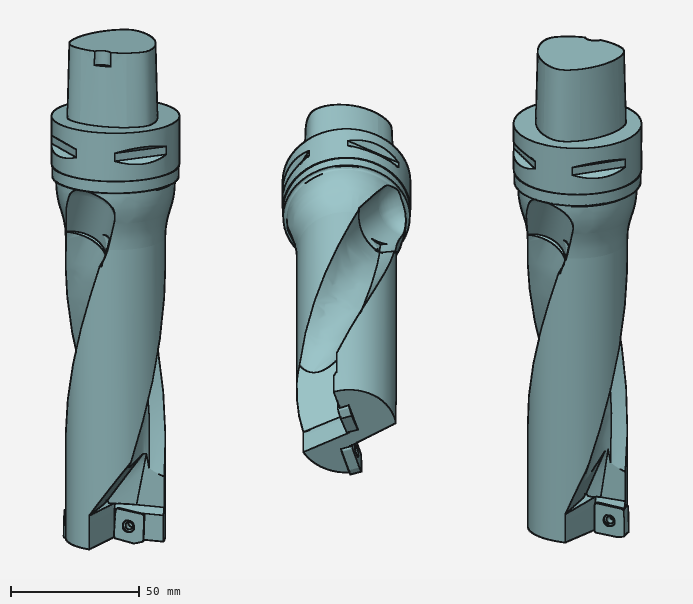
import cadquery as cq
import math


SHANK_LENGTH = 30.0
SHANK_TOP_RADIUS = 16.9
SHANK_TAPER = 1 / 40
LOBE_HEIGHT = 1.4
FLAT_HALF_ANGLE = 21.0

KEYWAY_RADIUS = 4.0
KEYWAY_DEPTH = 1.9
KEYWAY_LENGTH = 5.7

OUTLINE_STEPS = 10

FLANGE_RADIUS = 25.0
FLANGE_STEP_RADIUS = 24.75
FLANGE_STEP_Z = -19.65
FLANGE_BOTTOM_Z = -24.5
COLLAR_RADIUS = 23.25
COLLAR_BOTTOM_Z = -26.5
COLLAR_FILLET = 1.0
BODY_RADIUS = 19.5
NECK_BOTTOM_Z = -49.0
BODY_BOTTOM_Z = -171.4

GRIP_FLOOR_DISTANCE = 22.35
GRIP_CENTRE_Z = -9.75
GRIP_FLOOR_HEIGHT = 3.2
GRIP_MOUTH_HEIGHT = 6.85
GRIP_COUNT = 4

TWIST_RATE = 0.95
FLUTE_HALF_ANGLE = 34.0
FLUTE_TOP_BEARING = -23.4
FLUTE_WALL_FOOT_RADIUS = 13.3
FLUTE_FLOOR_DISTANCE = 10.6
FLUTE_FLOOR_OFFSET = -1.0
FLUTE_TOP_Z = -45.5
FLUTE_BOTTOM_Z = -150.0
FLUTE_OUTER_RADIUS = 28.0
RUNOUT_RADIUS = 11.8
RUNOUT_START = (-10.0, -18.1, -51.5)
RUNOUT_DIRECTION = (0.36, -0.42, 1.0)
RUNOUT_LENGTH = 27.5
RUNOUT_END_FILLET = 8.0

POCKET_TOP_Z = -134.5
POCKET_STEP_TOP_Z = -157.7
POCKET_STEP_BOTTOM_Z = -160.6
POCKET_TOP_X = 12.5
POCKET_UPPER_FLOOR_Y = 2.0
POCKET_RAMP_Y = 0.5
POCKET_LOWER_FLOOR_Y = 0.8
POCKET_REACH = 30.0
TIP_RELIEF_ANGLE = 5.0

INSERT_FACE_Y = 0.0
INSERT_THICKNESS = 4.5
INSERT_CORNER_RADIUS = 1.0
SCREW_RECESS_STEPS = [(4.8, 1.0), (3.0, INSERT_THICKNESS)]
TIP_Z = -172.99
DRILL_RADIUS = 19.95


def bearing_point(radius, bearing):
    angle = math.radians(bearing)
    return (radius * math.sin(angle), -radius * math.cos(angle))


def shank_wire(mean_radius, z):
    """Three-lobed outline, built from its distance-to-tangent formula, as flats and lobes."""

    def outline_point(bearing):
        angle = math.radians(bearing)
        distance = mean_radius - LOBE_HEIGHT * math.cos(3 * angle)
        slope = 3 * LOBE_HEIGHT * math.sin(3 * angle)
        x = distance * math.sin(angle) + slope * math.cos(angle)
        y = -distance * math.cos(angle) + slope * math.sin(angle)
        return cq.Vector(x, y, z)

    edges = []
    for flat_bearing in (0, 120, 240):
        seams = [flat_bearing - FLAT_HALF_ANGLE, flat_bearing + FLAT_HALF_ANGLE,
                 flat_bearing + 120 - FLAT_HALF_ANGLE]
        for start, end in zip(seams, seams[1:]):
            points = [outline_point(start + (end - start) * i / OUTLINE_STEPS)
                      for i in range(OUTLINE_STEPS + 1)]
            edges.append(cq.Edge.makeSpline(points))
    return cq.Wire.assembleEdges(edges)


def make_shank():
    base_radius = SHANK_TOP_RADIUS + SHANK_LENGTH * SHANK_TAPER
    wires = [shank_wire(base_radius, 0), shank_wire(SHANK_TOP_RADIUS, SHANK_LENGTH)]
    shank = cq.Workplane(cq.Solid.makeLoft(wires, True))
    flat_distance = SHANK_TOP_RADIUS - LOBE_HEIGHT
    keyway_y = -flat_distance + KEYWAY_DEPTH - KEYWAY_RADIUS
    keyway = (
        cq.Workplane("XY", origin=(0, keyway_y, SHANK_LENGTH - KEYWAY_LENGTH))
        .circle(KEYWAY_RADIUS)
        .extrude(KEYWAY_LENGTH)
    )
    return shank.cut(keyway)


def make_round_body():
    neck_middle = ((COLLAR_RADIUS + BODY_RADIUS) / 2, (COLLAR_BOTTOM_Z + NECK_BOTTOM_Z) / 2)
    fillet_middle = COLLAR_FILLET * (1 - math.sqrt(0.5))
    profile = (
        cq.Workplane("XZ")
        .moveTo(0, 0)
        .lineTo(FLANGE_RADIUS, 0)
        .lineTo(FLANGE_RADIUS, FLANGE_STEP_Z)
        .lineTo(FLANGE_STEP_RADIUS, FLANGE_STEP_Z)
        .lineTo(FLANGE_STEP_RADIUS, FLANGE_BOTTOM_Z)
        .lineTo(COLLAR_RADIUS + COLLAR_FILLET, FLANGE_BOTTOM_Z)
        .threePointArc(
            (COLLAR_RADIUS + fillet_middle, FLANGE_BOTTOM_Z - fillet_middle),
            (COLLAR_RADIUS, FLANGE_BOTTOM_Z - COLLAR_FILLET),
        )
        .lineTo(COLLAR_RADIUS, COLLAR_BOTTOM_Z)
        .tangentArcPoint(neck_middle, relative=False)
        .tangentArcPoint((BODY_RADIUS, NECK_BOTTOM_Z), relative=False)
        .lineTo(BODY_RADIUS, BODY_BOTTOM_Z)
        .lineTo(0, BODY_BOTTOM_Z)
        .close()
    )
    return profile.revolve(360, (0, 0, 0), (0, 1, 0))


def grip_slot_cutter(bearing):
    """Straight V-sided slot across the flange, widening outward."""
    half_floor = GRIP_FLOOR_HEIGHT / 2
    half_mouth = GRIP_MOUTH_HEIGHT / 2
    return (
        cq.Workplane("YZ", origin=(-FLANGE_RADIUS, 0, GRIP_CENTRE_Z))
        .polyline([
            (-GRIP_FLOOR_DISTANCE, half_floor),
            (-FLANGE_RADIUS, half_mouth),
            (-FLANGE_RADIUS, -half_mouth),
            (-GRIP_FLOOR_DISTANCE, -half_floor),
        ])
        .close()
        .extrude(2 * FLANGE_RADIUS)
        .rotate((0, 0, 0), (0, 0, 1), bearing)
    )


def flute_section(z):
    """Flute outline facing -Y: a radial wall on the +X side, then a hollow floor."""
    wall_foot = bearing_point(FLUTE_WALL_FOOT_RADIUS, FLUTE_HALF_ANGLE)
    wall_lip = bearing_point(FLUTE_OUTER_RADIUS, FLUTE_HALF_ANGLE)
    floor_lip = bearing_point(BODY_RADIUS, -FLUTE_HALF_ANGLE)
    outer_corner = bearing_point(FLUTE_OUTER_RADIUS, -FLUTE_HALF_ANGLE)
    return (
        cq.Workplane("XY", origin=(0, 0, z))
        .moveTo(*wall_lip)
        .lineTo(*wall_foot)
        .threePointArc((FLUTE_FLOOR_OFFSET, -FLUTE_FLOOR_DISTANCE), floor_lip)
        .lineTo(*outer_corner)
        .close()
    )


def helix_cutter():
    length = FLUTE_TOP_Z - FLUTE_BOTTOM_Z
    twist = TWIST_RATE * length
    helix = flute_section(FLUTE_BOTTOM_Z).twistExtrude(length, twist)
    return helix.rotate((0, 0, 0), (0, 0, 1), FLUTE_TOP_BEARING - twist)


def runout_cutter():
    """Leaning round cutter path that carries the top of the flute out through the neck."""
    plane = cq.Plane(origin=RUNOUT_START, normal=RUNOUT_DIRECTION)
    return (
        cq.Workplane(plane)
        .circle(RUNOUT_RADIUS)
        .extrude(RUNOUT_LENGTH)
        .faces(">Z")
        .edges()
        .fillet(RUNOUT_END_FILLET)
    )


def pocket_section(z, mouth_x, mouth_y, foot_x, floor_y):
    points = [
        (mouth_x, -POCKET_REACH),
        (mouth_x, mouth_y),
        (foot_x, floor_y),
        (POCKET_REACH, floor_y),
        (POCKET_REACH, -POCKET_REACH),
    ]
    return cq.Wire.makePolygon([cq.Vector(x, y, z) for x, y in points], close=True)


def pocket_cutter(mouth_x, upper_foot_x, lower_foot_x):
    """Open corner pocket facing -Y: stepped floor below, ramp running up into the flute."""
    mouth_y = -math.sqrt(BODY_RADIUS**2 - mouth_x**2)
    ramp = [
        pocket_section(POCKET_TOP_Z, POCKET_TOP_X, POCKET_RAMP_Y, POCKET_TOP_X, POCKET_UPPER_FLOOR_Y),
        pocket_section(POCKET_STEP_TOP_Z, mouth_x, POCKET_RAMP_Y, upper_foot_x, POCKET_UPPER_FLOOR_Y),
    ]
    step = [
        pocket_section(POCKET_STEP_TOP_Z, mouth_x, mouth_y, lower_foot_x, POCKET_UPPER_FLOOR_Y),
        pocket_section(POCKET_STEP_BOTTOM_Z, mouth_x, mouth_y, lower_foot_x, POCKET_LOWER_FLOOR_Y),
    ]
    seat = [
        pocket_section(POCKET_STEP_BOTTOM_Z, mouth_x, mouth_y, lower_foot_x, POCKET_LOWER_FLOOR_Y),
        pocket_section(TIP_Z, mouth_x, mouth_y, lower_foot_x, POCKET_LOWER_FLOOR_Y),
    ]
    lofts = [cq.Workplane(cq.Solid.makeLoft(wires, True)) for wires in (ramp, step, seat)]
    return lofts[0].union(lofts[1]).union(lofts[2])


def tip_relief_cutter():
    """Sloped end clearance of the lobe behind the central insert."""
    rise = POCKET_REACH * math.tan(math.radians(TIP_RELIEF_ANGLE))
    return (
        cq.Workplane("YZ", origin=(-POCKET_REACH, 0, BODY_BOTTOM_Z))
        .polyline([(0, 0), (POCKET_REACH, rise), (POCKET_REACH, 0)])
        .close()
        .extrude(2 * POCKET_REACH)
    )


def half_turn(shape):
    return shape.rotate((0, 0, 0), (0, 0, 1), 180)


def insert_blank(outline):
    """Plate with its cutting face toward -Y; the first (X, Z) corner is a sharp tip, the rest are round."""
    plate = (
        cq.Workplane("XZ", origin=(0, INSERT_FACE_Y + INSERT_THICKNESS, 0))
        .polyline(outline)
        .close()
        .extrude(INSERT_THICKNESS)
    )
    middle_y = INSERT_FACE_Y + INSERT_THICKNESS / 2
    for x, z in outline[1:]:
        corner = cq.selectors.NearestToPointSelector((x, middle_y, z))
        plate = plate.edges("|Y").edges(corner).fillet(INSERT_CORNER_RADIUS)
    return plate


def screw_recess_cutter(x, z):
    recess = cq.Workplane()
    for diameter, depth in SCREW_RECESS_STEPS:
        step = (
            cq.Workplane("XZ", origin=(x, INSERT_FACE_Y, z))
            .circle(diameter / 2)
            .extrude(-depth)
        )
        recess = recess.add(step)
    return recess.combine()


CENTRAL_OUTLINE = [(7.6, TIP_Z), (11.4, -171.9), (11.8, -160.8), (0.0, -159.3), (-0.8, -171.5)]
PERIPHERAL_OUTLINE = [(17.0, -172.6), (DRILL_RADIUS, -171.9), (DRILL_RADIUS - 0.3, -160.4),
                      (7.2, -159.6), (7.2, -172.2)]

CENTRAL_SCREW = (5.3, -166.2)
PERIPHERAL_SCREW = (13.4, -166.2)

central_blank = insert_blank(CENTRAL_OUTLINE)
central_insert = central_blank.cut(screw_recess_cutter(*CENTRAL_SCREW))

peripheral_blank = half_turn(insert_blank(PERIPHERAL_OUTLINE))
peripheral_insert = peripheral_blank.cut(half_turn(screw_recess_cutter(*PERIPHERAL_SCREW)))

drill_body = make_round_body()
for index in range(GRIP_COUNT):
    drill_body = drill_body.cut(grip_slot_cutter((index + 0.5) * 360 / GRIP_COUNT))
drill_body = drill_body.union(make_shank())
for flute_part in (runout_cutter(), helix_cutter()):
    drill_body = drill_body.cut(flute_part).cut(half_turn(flute_part))
drill_body = drill_body.cut(pocket_cutter(mouth_x=-4.3, upper_foot_x=8.0, lower_foot_x=-0.8))
drill_body = drill_body.cut(half_turn(pocket_cutter(mouth_x=3.0, upper_foot_x=9.0, lower_foot_x=7.0)))
drill_body = drill_body.cut(tip_relief_cutter())
drill_body = drill_body.cut(central_blank).cut(peripheral_blank)

bodies = [drill_body, central_insert, peripheral_insert]
result = cq.Compound.makeCompound([body.solids().val() for body in bodies])